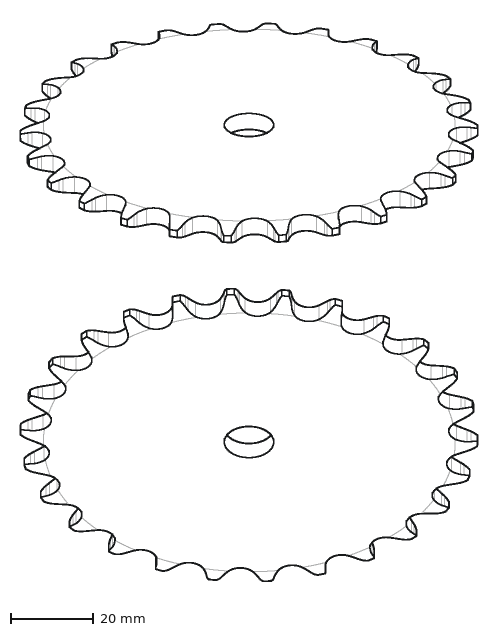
import cadquery as cq
import math

tooth_count = 26
outer_diameter = 111.2
plate_thickness = 4.5
bore_diameter = 12.0
pitch_diameter = 105.3
roller_diameter = 7.8

outer_radius = outer_diameter / 2
half_thickness = plate_thickness / 2
half_step = math.pi / tooth_count
pitch_radius = pitch_diameter / 2
chain_pitch = pitch_diameter * math.sin(half_step)

relief_start_radius = 50.0
relief_arc_radius = chain_pitch

seat_clearance_factor = 1.005
seat_radius = seat_clearance_factor * roller_diameter / 2
working_center_distance = 0.8 * roller_diameter
topping_center_distance = 1.4 * roller_diameter
working_radius = seat_radius + working_center_distance
seat_angle = math.radians(35 + 60 / tooth_count)
working_angle = math.radians(18 - 56 / tooth_count)
topping_angle = math.radians(17 - 64 / tooth_count)
topping_radius = (
    working_center_distance * math.cos(working_angle)
    + topping_center_distance * math.cos(topping_angle)
    - working_radius
)
flank_length = (
    topping_center_distance * math.sin(topping_angle)
    - working_center_distance * math.sin(working_angle)
)
gap_overrun = 0.6


def point_on_arc(center, radius, angle):
    """Point of a circle, with the angle counted from +Y towards -X."""
    return (center[0] - radius * math.sin(angle), center[1] + radius * math.cos(angle))


def mirrored(point):
    """The point on the other side of the X axis."""
    return (point[0], -point[1])


def relief_half_width(radius):
    """Half the tooth width where the convex relief arc passes the given radius."""
    distance = radius - relief_start_radius
    return half_thickness - relief_arc_radius + math.sqrt(relief_arc_radius**2 - distance**2)


def blank_disc():
    """Disc whose rim is thinned by convex arcs on both faces."""
    mid_radius = (relief_start_radius + outer_radius) / 2
    mid_half_width = relief_half_width(mid_radius)
    rim_half_width = relief_half_width(outer_radius)
    return (
        cq.Workplane("XZ")
        .moveTo(0, -half_thickness)
        .lineTo(relief_start_radius, -half_thickness)
        .threePointArc((mid_radius, -mid_half_width), (outer_radius, -rim_half_width))
        .lineTo(outer_radius, rim_half_width)
        .threePointArc((mid_radius, mid_half_width), (relief_start_radius, half_thickness))
        .lineTo(0, half_thickness)
        .close()
        .revolve(360, (0, 0, 0), (0, 1, 0))
    )


def gap_cutter():
    """Cutter for one gap on the X axis: roller seat, working arcs, short flats and topping arcs."""
    roller_center = (pitch_radius, 0)
    seat_bottom = (pitch_radius - seat_radius, 0)
    seat_end = point_on_arc(roller_center, seat_radius, seat_angle)

    working_center = point_on_arc(roller_center, seat_radius - working_radius, seat_angle)
    flank_angle = seat_angle - working_angle
    working_mid = point_on_arc(working_center, working_radius, seat_angle - working_angle / 2)
    working_end = point_on_arc(working_center, working_radius, flank_angle)

    flank_end = (
        working_end[0] + flank_length * math.cos(flank_angle),
        working_end[1] + flank_length * math.sin(flank_angle),
    )

    topping_center = point_on_arc(flank_end, topping_radius, flank_angle)
    mouth_x = outer_radius + gap_overrun
    topping_end_angle = math.asin((mouth_x - topping_center[0]) / topping_radius)
    topping_mid_angle = (flank_angle + topping_end_angle) / 2
    topping_mid = point_on_arc(topping_center, -topping_radius, topping_mid_angle)
    topping_end = point_on_arc(topping_center, -topping_radius, topping_end_angle)

    return (
        cq.Workplane("XY", origin=(0, 0, -half_thickness))
        .moveTo(*mirrored(topping_end))
        .threePointArc(mirrored(topping_mid), mirrored(flank_end))
        .lineTo(*mirrored(working_end))
        .threePointArc(mirrored(working_mid), mirrored(seat_end))
        .threePointArc(seat_bottom, seat_end)
        .threePointArc(working_mid, working_end)
        .lineTo(*flank_end)
        .threePointArc(topping_mid, topping_end)
        .close()
        .extrude(plate_thickness)
    )


sprocket = blank_disc()
gap = gap_cutter()
for index in range(tooth_count):
    gap_angle = math.degrees((2 * index + 1) * half_step)
    sprocket = sprocket.cut(gap.rotate((0, 0, 0), (0, 0, 1), gap_angle))

bore = cq.Workplane("XY", origin=(0, 0, -half_thickness)).circle(bore_diameter / 2).extrude(plate_thickness)
result = sprocket.cut(bore)